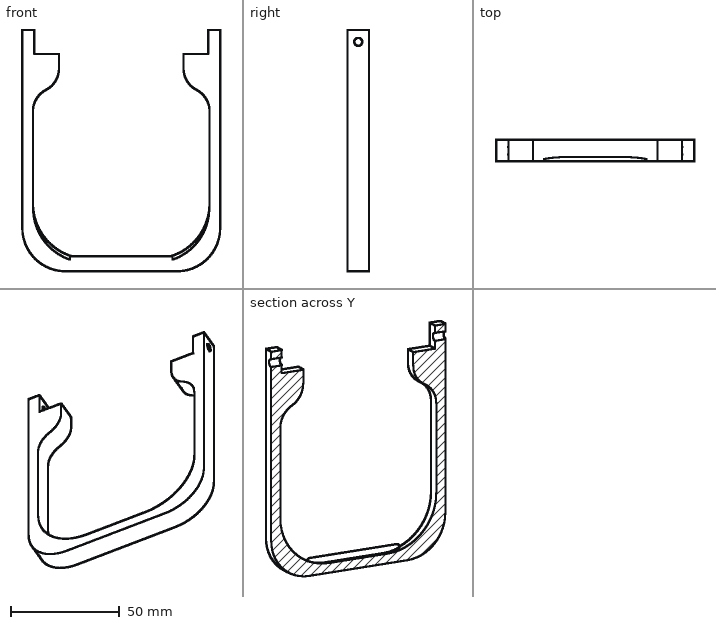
import cadquery as cq
import math

width = 91.0
depth = 10.0
height = 111.0
outer_radius = 20.0

leg_thickness = 5.0
tip_thickness = 5.7
shoulder_reach = 17.0
shoulder_top = 99.9
shoulder_curve_top = 93.2
shoulder_radius = 11.1

floor_front = 4.0
floor_back = 5.9
opening_radius = 25.2

lip_half_length = 23.6
lip_top = 7.0
lip_depth = 2.0
lip_end_chamfer = 0.5

hole_diameter = 3.5
hole_height = 105.5

half_width = width / 2
half_depth = depth / 2
inner_x = half_width - leg_thickness
floor_slope = (floor_back - floor_front) / depth


def make_blank():
    """Solid plate with rounded lower corners."""
    plate = cq.Workplane("XY").box(width, depth, height, centered=(True, True, False))
    return plate.edges("|Y and <Z").fillet(outer_radius)


def make_opening():
    """U-shaped cutter swept along the sloping floor."""
    overrun = depth
    start_y = -half_depth - overrun
    start_floor = floor_front - floor_slope * overrun
    sweep_depth = depth + 2 * overrun
    rise = floor_slope * sweep_depth
    clear_height = 2 * height
    tangent_x = inner_x - opening_radius
    tangent_z = start_floor + opening_radius
    diagonal = opening_radius * math.sqrt(0.5)

    profile = (
        cq.Workplane("XZ", origin=(0, start_y, 0))
        .moveTo(-inner_x, clear_height)
        .lineTo(-inner_x, tangent_z)
        .threePointArc((-tangent_x - diagonal, tangent_z - diagonal), (-tangent_x, start_floor))
        .lineTo(tangent_x, start_floor)
        .threePointArc((tangent_x + diagonal, tangent_z - diagonal), (inner_x, tangent_z))
        .lineTo(inner_x, clear_height)
        .close()
    )
    path = cq.Workplane("YZ").moveTo(start_y, start_floor).lineTo(start_y + sweep_depth, start_floor + rise)
    return profile.sweep(path)


def make_shoulder():
    """Left shoulder: a flat ledge above an S-curve blending into the leg."""
    half_reach = (shoulder_reach - leg_thickness) / 2
    turn = math.acos(1 - half_reach / shoulder_radius)
    half_drop = shoulder_radius * math.sin(turn)
    mid_x = shoulder_reach - half_reach
    mid_z = shoulder_curve_top - half_drop
    end_z = mid_z - half_drop
    bulge_x = shoulder_radius * (1 - math.cos(turn / 2))
    bulge_z = shoulder_radius * math.sin(turn / 2)

    return (
        cq.Workplane("XZ", origin=(-half_width, half_depth, 0))
        .moveTo(0, shoulder_top)
        .lineTo(shoulder_reach, shoulder_top)
        .lineTo(shoulder_reach, shoulder_curve_top)
        .threePointArc((shoulder_reach - bulge_x, shoulder_curve_top - bulge_z), (mid_x, mid_z))
        .threePointArc((leg_thickness + bulge_x, end_z + bulge_z), (leg_thickness, end_z))
        .lineTo(0, end_z)
        .close()
        .extrude(depth)
    )


def make_tip():
    """Left leg tip, slightly thicker than the leg below."""
    tip_height = height - shoulder_top
    return cq.Workplane("XY").box(tip_thickness, depth, tip_height, centered=(False, True, False)).translate(
        (-half_width, 0, shoulder_top)
    )


def make_lip():
    """Lip with its crest on the front face, sloping down to meet the floor."""
    foot = floor_front + floor_slope * lip_depth
    bar = (
        cq.Workplane("YZ", origin=(-lip_half_length, 0, 0))
        .moveTo(-half_depth, floor_front)
        .lineTo(-half_depth, lip_top)
        .lineTo(-half_depth + lip_depth, foot)
        .close()
        .extrude(2 * lip_half_length)
    )
    shoulder_z = lip_top - lip_end_chamfer
    crest_half_length = lip_half_length - lip_end_chamfer
    envelope = (
        cq.Workplane("XZ", origin=(0, half_depth, 0))
        .polyline(
            [
                (-lip_half_length, 0),
                (-lip_half_length, shoulder_z),
                (-crest_half_length, lip_top),
                (crest_half_length, lip_top),
                (lip_half_length, shoulder_z),
                (lip_half_length, 0),
            ]
        )
        .close()
        .extrude(depth)
    )
    return bar.intersect(envelope)


def make_pin_holes():
    """One cylinder along X that pierces both leg tips."""
    return (
        cq.Workplane("YZ", origin=(-half_width, 0, 0))
        .center(0, hole_height)
        .circle(hole_diameter / 2)
        .extrude(width)
    )


frame = make_blank().cut(make_opening())
for feature in (make_shoulder(), make_tip()):
    frame = frame.union(feature).union(feature.mirror("YZ"))
result = frame.union(make_lip()).cut(make_pin_holes())